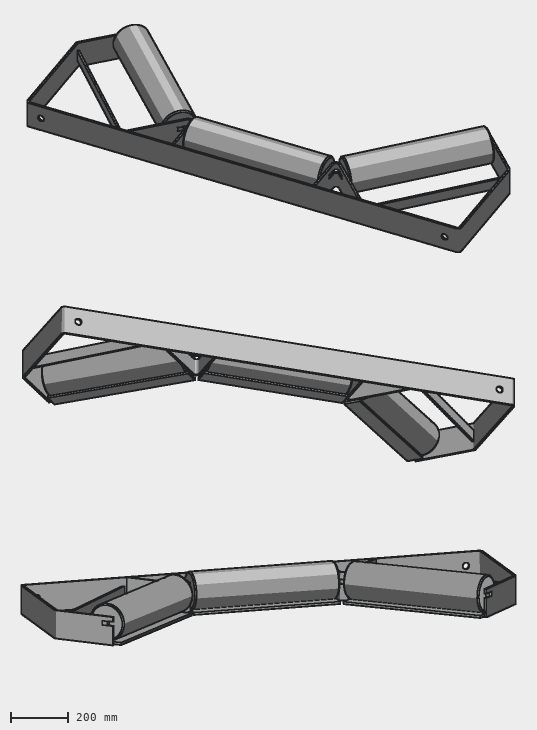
import cadquery as cq
import math

frame_width = 1680.0
bar_thickness = 8.0
bar_height = 100.0
bar_bottom = 7.0
frame_bend_radius = 5.0
bracket_bend_radius = 10.0
side_corner_y = 395.0
arm_tip_y = 555.0
mounting_hole_diameter = 24.0
mounting_hole_x = 781.0

drum_diameter = 133.0
drum_length = 528.0
drum_chamfer = 5.0
axle_length = 555.0
axle_end_width = 20.0
axle_end_height = 15.0
lip_length = 535.0
lip_width = 59.0
lip_drop = 7.4
lip_overlap = 2.0
side_roller_tilt = 1.0
centre_roller_y = 126.0
side_axis_sum = -170.0

slot_run = 84.0
slot_overshoot = 25.0

strut_height = 40.0
strut_foot_x = 467.0

half_width = frame_width / 2
bar_top = bar_bottom + bar_height
bar_middle_z = (bar_bottom + bar_top) / 2
inner_x = half_width - bar_thickness
side_bend_setback = bar_thickness * math.tan(math.radians(22.5))
inner_corner_y = side_corner_y - side_bend_setback
bar_slant = bar_thickness * math.sqrt(2)
drum_radius = drum_diameter / 2
centre_axle_z = drum_radius + lip_drop

arm_offset = side_corner_y + half_width
bracket_offset = arm_offset - axle_length * math.sqrt(2)
side_roller_offset = (arm_offset + bracket_offset) / 2


def mirrored(body):
    """Copy of a left-hand body on the right-hand side."""
    return body.mirror("YZ")


def bar(outline):
    """Upright flat bar with the given closed plan outline."""
    return cq.Workplane("XY").workplane(offset=bar_bottom).polyline(outline).close().extrude(bar_height)


def round_corner(body, x, y, radius):
    """Round the upright edge at the plan point (x, y)."""
    reach = bar_thickness / 10
    box = cq.selectors.BoxSelector((x - reach, y - reach, bar_bottom), (x + reach, y + reach, bar_top))
    return body.edges(box).fillet(radius)


def at_centre(body):
    """Move a body lying along X to the centre roller position."""
    return body.translate((0, centre_roller_y, centre_axle_z))


def at_left(body):
    """Move a body lying along X to the left roller position, tilted and turned by 45 degrees."""
    rise = drum_length / 2 * math.sin(math.radians(side_roller_tilt))
    tilted = body.rotate((0, 0, 0), (0, 1, 0), side_roller_tilt)
    turned = tilted.rotate((0, 0, 0), (0, 0, 1), -45)
    x = (side_axis_sum - side_roller_offset) / 2
    y = (side_axis_sum + side_roller_offset) / 2
    return turned.translate((x, y, centre_axle_z + rise))


def make_roller():
    """Roller lying along X, centred on the origin."""
    drum = (
        cq.Workplane("YZ")
        .circle(drum_radius)
        .extrude(drum_length / 2, both=True)
        .edges()
        .chamfer(drum_chamfer)
    )
    axle = cq.Workplane("XY").box(axle_length, axle_end_width, axle_end_height)
    lip = (
        cq.Workplane("XY")
        .box(lip_length, lip_width, lip_drop + lip_overlap, centered=(True, False, False))
        .translate((0, 0, -drum_radius - lip_drop))
    )
    return drum.union(axle).union(lip)


def make_slot_cutter():
    """Cutter for the slots of one axle lying along X, open towards +Y."""
    return (
        cq.Workplane("XY")
        .box(
            axle_length + 2 * slot_overshoot,
            axle_end_width + slot_run,
            axle_end_height,
            centered=(True, False, True),
        )
        .translate((0, -axle_end_width / 2, 0))
    )


def make_frame():
    """Front bar with two sides and two inward arms, bent from one strip."""
    tip_x = arm_offset - arm_tip_y
    tip_shift = bar_slant / 2
    outer_half = [(half_width, 0), (half_width, side_corner_y), (tip_x, arm_tip_y)]
    inner_half = [
        (tip_x - tip_shift, arm_tip_y - tip_shift),
        (inner_x, inner_corner_y),
        (inner_x, bar_thickness),
    ]
    right_half = outer_half + inner_half
    left_half = [(-x, y) for x, y in reversed(right_half)]
    frame = bar(right_half + left_half)
    for side in (-1, 1):
        for outer_y, inner_y in ((0, bar_thickness), (side_corner_y, inner_corner_y)):
            frame = round_corner(frame, side * half_width, outer_y, frame_bend_radius + bar_thickness)
            frame = round_corner(frame, side * inner_x, inner_y, frame_bend_radius)
    holes = (
        cq.Workplane("XZ")
        .pushPoints([(-mounting_hole_x, bar_middle_z), (mounting_hole_x, bar_middle_z)])
        .circle(mounting_hole_diameter / 2)
        .extrude(-bar_thickness)
    )
    slot = at_left(make_slot_cutter())
    return frame.cut(holes).cut(slot).cut(mirrored(slot))


def make_left_bracket():
    """Bar rising from the front bar at 45 degrees and bent back beside the centre roller."""
    leg_outer_x = -axle_length / 2
    leg_inner_x = leg_outer_x + bar_thickness
    upper_offset = bracket_offset + bar_slant
    inside_corner = (leg_outer_x, leg_outer_x + bracket_offset)
    outside_corner = (leg_inner_x, leg_inner_x + upper_offset)
    outline = [
        (bar_thickness - bracket_offset, bar_thickness),
        inside_corner,
        (leg_outer_x, bar_thickness),
        (leg_inner_x, bar_thickness),
        outside_corner,
        (bar_thickness - upper_offset, bar_thickness),
    ]
    bracket = bar(outline)
    bracket = round_corner(bracket, *inside_corner, bracket_bend_radius)
    bracket = round_corner(bracket, *outside_corner, bracket_bend_radius + bar_thickness)
    slot = make_slot_cutter()
    return bracket.cut(at_centre(slot)).cut(at_left(slot))


def make_left_strut(frame):
    """Low flat bar from the side bend down to the front bar, trimmed to the frame."""
    run_x = inner_x - strut_foot_x
    run_y = inner_corner_y - bar_thickness
    span = math.hypot(run_x, run_y)
    blank = (
        cq.Workplane("XY")
        .box(span + 2 * bar_thickness, bar_thickness, strut_height)
        .rotate((0, 0, 0), (0, 0, 1), -math.degrees(math.atan2(run_y, run_x)))
        .translate((-(inner_x + strut_foot_x) / 2, (inner_corner_y + bar_thickness) / 2, bar_middle_z))
    )
    inside = (
        cq.Workplane("XY")
        .box(2 * inner_x, arm_tip_y, bar_top, centered=(True, False, False))
        .translate((0, bar_thickness, 0))
    )
    return blank.intersect(inside).cut(frame)


frame = make_frame()
left_bracket = make_left_bracket()
left_strut = make_left_strut(frame)
centre_roller = at_centre(make_roller())
left_roller = at_left(make_roller())

bodies = [frame, centre_roller]
for left_body in (left_bracket, left_strut, left_roller):
    bodies += [left_body, mirrored(left_body)]

result = cq.Compound.makeCompound([body.solids().val() for body in bodies])